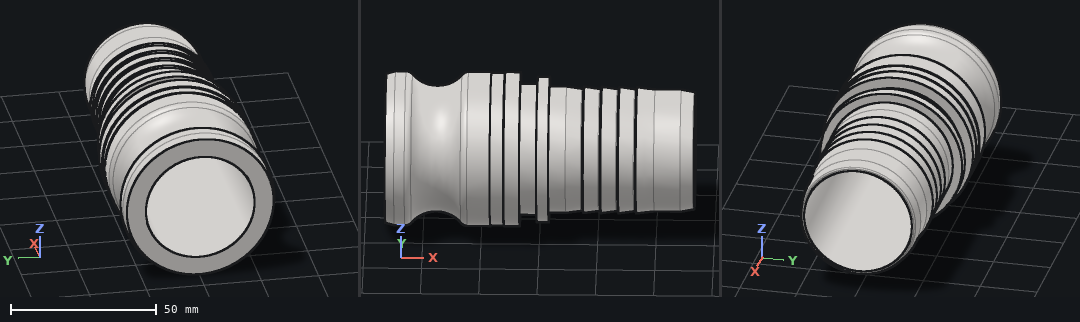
import cadquery as cq
import math

length = 106.0
bore_diameter = 38.0
body_radius = 53.0 / 2
neck_radius = 45.0 / 2
collar_radius = 50.0 / 2
barb_crest_radius = 43.5 / 2
tail_radius = 42.0 / 2

lead_in_length = 3.2
lead_in_radius = 25.7

groove_center_x = 17.5
groove_floor_radius = 21.6
groove_arc_radius = 11.2
groove_round_radius = 3.0

band_start = 36.0
band_end = 40.6
band_radius = 52.5 / 2
band_wall_run = 0.2

body_end = 46.1
collar_start = 51.9
collar_end = 56.1

barb_start = 61.9
barb_pitch = 6.0
barb_count = 5
barb_slope_length = 5.2
barb_rise_run = 0.3
last_slope_end = 92.2

tip_start = 101.2
tip_radius = 20.1
tip_round_radius = 0.5


def add_locking_groove(profile):
    """Draw the groove from the body surface, down to its floor and back up."""
    depth = body_radius - groove_floor_radius
    center_distance = groove_arc_radius + groove_round_radius
    angle = math.acos(1 - depth / center_distance)
    half_width = center_distance * math.sin(angle)
    half_arc_width = groove_arc_radius * math.sin(angle)
    join_radius = groove_floor_radius + groove_arc_radius * (1 - math.cos(angle))

    round_mid_run = groove_round_radius * math.sin(angle / 2)
    round_mid_radius = body_radius - groove_round_radius * (1 - math.cos(angle / 2))

    left = groove_center_x - half_width
    right = groove_center_x + half_width
    left_join = (groove_center_x - half_arc_width, join_radius)
    right_join = (groove_center_x + half_arc_width, join_radius)
    return (
        profile.lineTo(left, body_radius)
        .threePointArc((left + round_mid_run, round_mid_radius), left_join)
        .threePointArc((groove_center_x, groove_floor_radius), right_join)
        .threePointArc((right - round_mid_run, round_mid_radius), (right, body_radius))
    )


def add_barbs(profile):
    """Draw the barbs; the last one slopes into the plain tail."""
    for index in range(barb_count - 1):
        crest_x = barb_start + index * barb_pitch
        next_crest_x = crest_x + barb_pitch
        profile = (
            profile.lineTo(crest_x + barb_slope_length, tail_radius)
            .lineTo(next_crest_x - barb_rise_run, tail_radius)
            .lineTo(next_crest_x, barb_crest_radius)
        )
    return profile.lineTo(last_slope_end, tail_radius)


outline = cq.Workplane("XY").lineTo(0, lead_in_radius).lineTo(lead_in_length, body_radius)
outline = add_locking_groove(outline)
outline = (
    outline.lineTo(band_start, body_radius)
    .lineTo(band_start, band_radius)
    .lineTo(band_end, band_radius)
    .lineTo(band_end + band_wall_run, body_radius)
    .lineTo(body_end, body_radius)
    .lineTo(body_end, neck_radius)
    .lineTo(collar_start, neck_radius)
    .lineTo(collar_start, collar_radius)
    .lineTo(collar_end, collar_radius)
    .lineTo(collar_end, barb_crest_radius)
    .lineTo(barb_start, barb_crest_radius)
)
outline = add_barbs(outline)
outline = (
    outline.lineTo(tip_start, tail_radius)
    .lineTo(length, tip_radius)
    .lineTo(length, 0)
    .close()
)

solid_body = outline.revolve(360, (0, 0, 0), (1, 0, 0))
solid_body = solid_body.faces(">X").edges().fillet(tip_round_radius)

bore = cq.Workplane("YZ").circle(bore_diameter / 2).extrude(length)
result = solid_body.cut(bore)